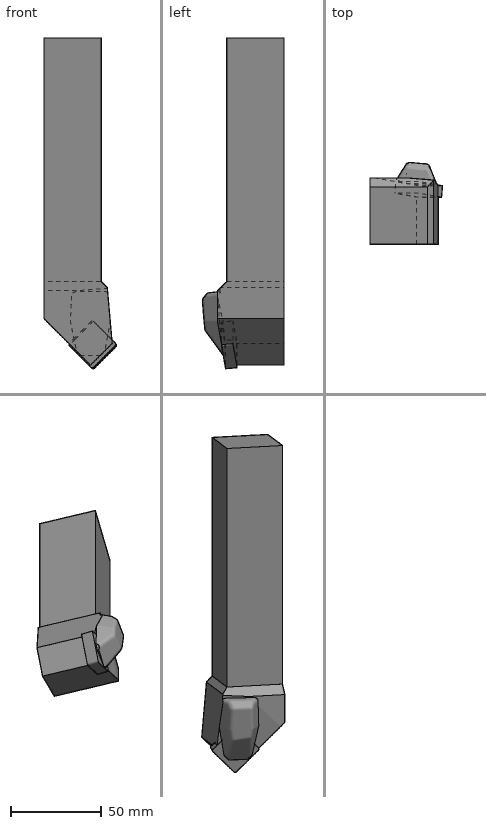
import cadquery as cq
import math

TOTAL_HEIGHT = 183.8
SHANK_SIZE = 32.0

HEAD_DEPTH = 37.0
STEP_TOP = 48.5
SIDE_STEP = 3.3
BACK_STEP = HEAD_DEPTH - SHANK_SIZE
SIDE_LEAN = 5
FLANK_SUM = 28.0
NOSE_DIFFERENCE = 23.9

INSERT_SIDE = 19.1
INSERT_THICKNESS = 6.5
INSERT_CORNER_RADIUS = 1.1
INSERT_TILT = 7
CUTTING_EDGE_Y = 32.5
RIGHT_EXTREME = 40.5

CLAMP_FOOT_Y = 31.3
CLAMP_CROWN_Y = 49.6
CLAMP_ABOVE_RAKE = 9.2
CLAMP_REAR = 43.5
CLAMP_BEND = 26.5
CLAMP_NOSE = 7.4
CLAMP_LEFT = 11.8
CLAMP_RIGHT = 38.0
LEFT_NOSE_INSET = 5.1
RIGHT_NOSE_INSET = 4.0
LEFT_DRAFT = 0.63
RIGHT_DRAFT = 0.4
REAR_DRAFT = 0.12
RAMP_START = (45.2, 23.0)
RAMP_END = (33.8, 7.4)
REAR_BEVEL = 3.3
CLAMP_ROUNDING = 2.5
OVERSIZE = 110.3


def make_rake_plane():
    """Plane of the insert's rake face, centred on the insert."""
    tilt = math.radians(INSERT_TILT)
    straight_half = INSERT_SIDE / 2 - INSERT_CORNER_RADIUS
    corner_reach = straight_half * (1 + math.cos(tilt)) / math.sqrt(2)
    corner_reach += INSERT_CORNER_RADIUS * math.sqrt((1 + math.cos(tilt) ** 2) / 2)
    center_y = CUTTING_EDGE_Y + INSERT_SIDE / 2 * math.sin(tilt)
    center = (RIGHT_EXTREME - corner_reach, center_y, corner_reach)
    across = math.sin(tilt) / math.sqrt(2)
    return cq.Plane(origin=center, xDir=(1, 0, 1), normal=(across, math.cos(tilt), -across))


def make_insert(plane):
    return (
        cq.Workplane(plane)
        .rect(INSERT_SIDE, INSERT_SIDE)
        .extrude(-INSERT_THICKNESS)
        .edges(cq.selectors.ParallelDirSelector(plane.zDir))
        .fillet(INSERT_CORNER_RADIUS)
    )


def make_front_outline():
    """Shank and head outline in X and Z, deep enough to bound the clamp as well."""
    step_x = SHANK_SIZE + SIDE_STEP
    step_z = STEP_TOP - SIDE_STEP
    slope = math.tan(math.radians(SIDE_LEAN))
    right_z = (step_x + slope * step_z - NOSE_DIFFERENCE) / (1 + slope)
    nose_x = (FLANK_SUM + NOSE_DIFFERENCE) / 2
    return (
        cq.Workplane("XZ")
        .polyline([
            (0, TOTAL_HEIGHT),
            (SHANK_SIZE, TOTAL_HEIGHT),
            (SHANK_SIZE, STEP_TOP),
            (step_x, step_z),
            (NOSE_DIFFERENCE + right_z, right_z),
            (nose_x, FLANK_SUM - nose_x),
            (0, FLANK_SUM),
        ])
        .close()
        .extrude(-CLAMP_CROWN_Y)
    )


def make_side_outline(plane):
    """Shank and head outline in Y and Z, cut down to the rake plane at the tip."""
    side = (
        cq.Workplane("YZ")
        .polyline([
            (0, 0),
            (0, TOTAL_HEIGHT),
            (SHANK_SIZE, TOTAL_HEIGHT),
            (SHANK_SIZE, STEP_TOP),
            (HEAD_DEPTH, STEP_TOP - BACK_STEP),
            (HEAD_DEPTH, 0),
        ])
        .close()
        .extrude(RIGHT_EXTREME)
    )
    above_rake = cq.Workplane(plane).rect(OVERSIZE, OVERSIZE).extrude(OVERSIZE)
    return side.cut(above_rake)


def clamp_outline(y):
    """Drafted clamp outline at depth y."""
    rise = y - CLAMP_FOOT_Y
    left = CLAMP_LEFT + LEFT_DRAFT * rise
    right = CLAMP_RIGHT - RIGHT_DRAFT * rise
    rear = CLAMP_REAR - REAR_DRAFT * rise
    points = [
        (left, y, rear),
        (right, y, rear),
        (right, y, CLAMP_BEND),
        (right - RIGHT_NOSE_INSET, y, CLAMP_NOSE),
        (left + LEFT_NOSE_INSET, y, CLAMP_NOSE),
        (left, y, CLAMP_BEND),
    ]
    return cq.Wire.makePolygon([cq.Vector(*point) for point in points], close=True)


def make_clamp(plane):
    """Drafted boss with a sloping nose and rounded outer edges."""
    boss = cq.Workplane(
        cq.Solid.makeLoft([clamp_outline(CLAMP_FOOT_Y), clamp_outline(CLAMP_CROWN_Y)], True)
    )
    above_crown = (
        cq.Workplane(plane)
        .workplane(offset=CLAMP_ABOVE_RAKE)
        .rect(OVERSIZE, OVERSIZE)
        .extrude(OVERSIZE)
    )
    start_y, start_z = RAMP_START
    end_y, end_z = RAMP_END
    ramp_slope = (start_y - end_y) / (start_z - end_z)
    beyond_ramp = (
        cq.Workplane("YZ")
        .polyline([
            (end_y - ramp_slope * end_z, 0),
            (start_y + ramp_slope * (CLAMP_BEND - start_z), CLAMP_BEND),
            (OVERSIZE, CLAMP_BEND),
            (OVERSIZE, 0),
        ])
        .close()
        .extrude(OVERSIZE)
    )
    boss = boss.cut(above_crown).cut(beyond_ramp)
    boss = boss.faces(cq.selectors.ParallelDirSelector(plane.zDir)).edges(">Z").chamfer(REAR_BEVEL)
    sharp_edges = boss.faces("<Y or <Z").edges().vals()
    rounded_edges = [
        edge for edge in boss.edges().vals() if not any(edge.isSame(sharp) for sharp in sharp_edges)
    ]
    return boss.newObject(rounded_edges).fillet(CLAMP_ROUNDING)


rake_plane = make_rake_plane()
insert = make_insert(rake_plane)
holder = (
    make_side_outline(rake_plane)
    .union(make_clamp(rake_plane))
    .intersect(make_front_outline())
    .cut(insert)
)

result = cq.Compound.makeCompound([holder.solids().val(), insert.val()])